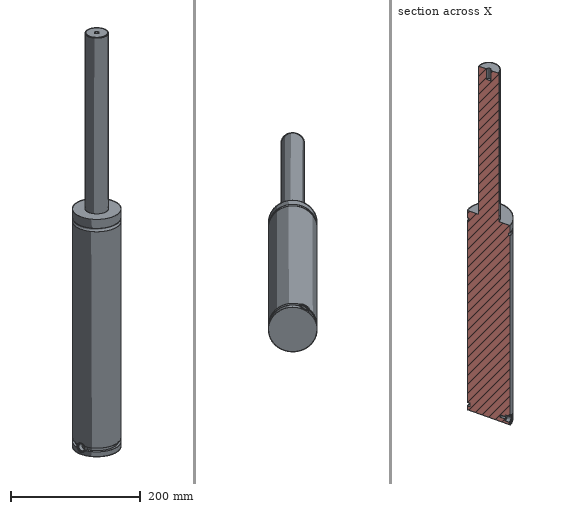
import cadquery as cq

total_height = 710.0
body_diameter = 75.0
body_height = 407.5
rod_diameter = 36.0

foot_groove_bottom = 8.5
foot_groove_width = 6.5
foot_groove_depth = 4.0

head_groove_center = body_height - 18.5
head_groove_radius = 3.0
head_groove_depth = 2.5

rod_chamfer = 1.1

rod_hole_diameter = 6.8
rod_hole_depth = 21.0

port_height = 11.5
collar_diameter = 16.0
collar_depth = 8.5
port_mouth_diameter = 14.0
port_mouth_depth = 1.5
port_hole_diameter = 11.5
port_hole_depth = 8.5
port_bore_diameter = 3.5
port_bore_depth = 17.0

body_radius = body_diameter / 2


def make_rod():
    """Piston rod with a chamfered, drilled end."""
    rod = cq.Workplane("XY").circle(rod_diameter / 2).extrude(total_height)
    rod = rod.faces(">Z").chamfer(rod_chamfer)
    return rod.faces(">Z").workplane().hole(rod_hole_diameter, rod_hole_depth)


def make_foot_groove():
    """Ring that cuts the square groove."""
    return (
        cq.Workplane("XY", origin=(0, 0, foot_groove_bottom))
        .circle(body_radius + foot_groove_depth)
        .circle(body_radius - foot_groove_depth)
        .extrude(foot_groove_width)
    )


def make_head_groove():
    """Torus that cuts the round-bottomed groove."""
    ring_radius = body_radius + head_groove_radius - head_groove_depth
    return (
        cq.Workplane("XZ")
        .center(ring_radius, head_groove_center)
        .circle(head_groove_radius)
        .revolve(360, (-ring_radius, 0, 0), (-ring_radius, 1, 0))
    )


def port_cylinder(diameter, depth):
    """Cylinder on the port axis, running inward from the plane touching the body's -Y side."""
    return (
        cq.Workplane("XZ", origin=(0, -body_radius, port_height))
        .circle(diameter / 2)
        .extrude(-depth)
    )


body = cq.Workplane("XY").circle(body_radius).extrude(body_height)
body = body.cut(make_foot_groove()).cut(make_head_groove())
body = body.union(port_cylinder(collar_diameter, collar_depth))
body = body.cut(port_cylinder(port_mouth_diameter, port_mouth_depth))
body = body.cut(port_cylinder(port_hole_diameter, port_hole_depth))
body = body.cut(port_cylinder(port_bore_diameter, port_bore_depth))

result = body.union(make_rod())